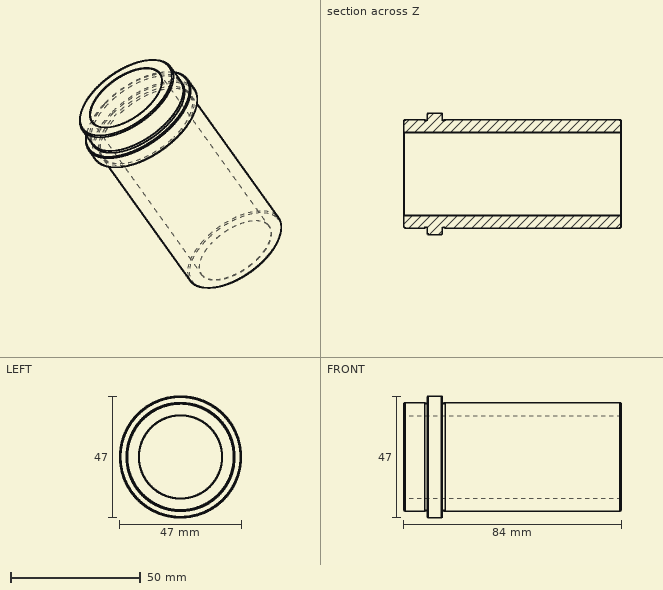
import cadquery as cq

length = 84.0
body_radius = 42.0 / 2
collar_radius = 47.0 / 2
bore_radius = 32.0 / 2

collar_start = 9.1
collar_width = 5.9
collar_end = collar_start + collar_width

edge_chamfer = 0.5
collar_chamfer = 0.4
bore_chamfer = 0.2
relief_width = 1.0
relief_depth = 0.3
relief_floor = body_radius - relief_depth
front_relief_start = collar_start - relief_width
rear_relief_end = collar_end + relief_width

profile = (
    cq.Workplane("XY")
    .moveTo(0, bore_radius + bore_chamfer)
    .lineTo(0, body_radius - edge_chamfer)
    .lineTo(edge_chamfer, body_radius)
    .lineTo(front_relief_start, body_radius)
    .threePointArc(
        (collar_start - relief_width / 2, relief_floor),
        (collar_start, body_radius),
    )
    .lineTo(collar_start, collar_radius - collar_chamfer)
    .lineTo(collar_start + collar_chamfer, collar_radius)
    .lineTo(collar_end - collar_chamfer, collar_radius)
    .lineTo(collar_end, collar_radius - collar_chamfer)
    .lineTo(collar_end, body_radius)
    .threePointArc(
        (collar_end + relief_width / 2, relief_floor),
        (rear_relief_end, body_radius),
    )
    .lineTo(length - edge_chamfer, body_radius)
    .lineTo(length, body_radius - edge_chamfer)
    .lineTo(length, bore_radius + bore_chamfer)
    .lineTo(length - bore_chamfer, bore_radius)
    .lineTo(bore_chamfer, bore_radius)
    .close()
)

result = profile.revolve(360, (0, 0, 0), (1, 0, 0))